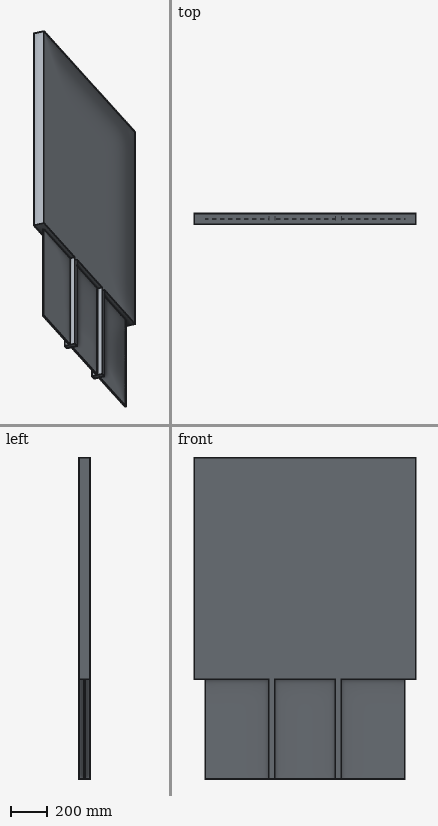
import cadquery as cq

panel_side = 1200.0
panel_thickness = 60.0

overall_height = 1740.0
sheet_height = overall_height - panel_side
side_margin = 60.0
sheet_width = panel_side - 2 * side_margin
sheet_thickness = 6.0

bay_count = 3
rib_width = 30.0
rib_depth = panel_thickness
bay_pitch = sheet_width / bay_count


def upright_block(width, depth, height, center_x, bottom_z):
    """Block centred on center_x and on Y = 0, rising from bottom_z."""
    return (
        cq.Workplane("XY")
        .box(width, depth, height, centered=(True, True, False))
        .translate((center_x, 0, bottom_z))
    )


def make_panel():
    return upright_block(panel_side, panel_thickness, panel_side, 0, sheet_height)


def make_sheet():
    return upright_block(sheet_width, sheet_thickness, sheet_height, 0, 0)


def make_rib(center_x):
    return upright_block(rib_width, rib_depth, sheet_height, center_x, 0)


result = make_panel().union(make_sheet())
for joint in range(1, bay_count):
    result = result.union(make_rib(joint * bay_pitch - sheet_width / 2))

result = result.clean()